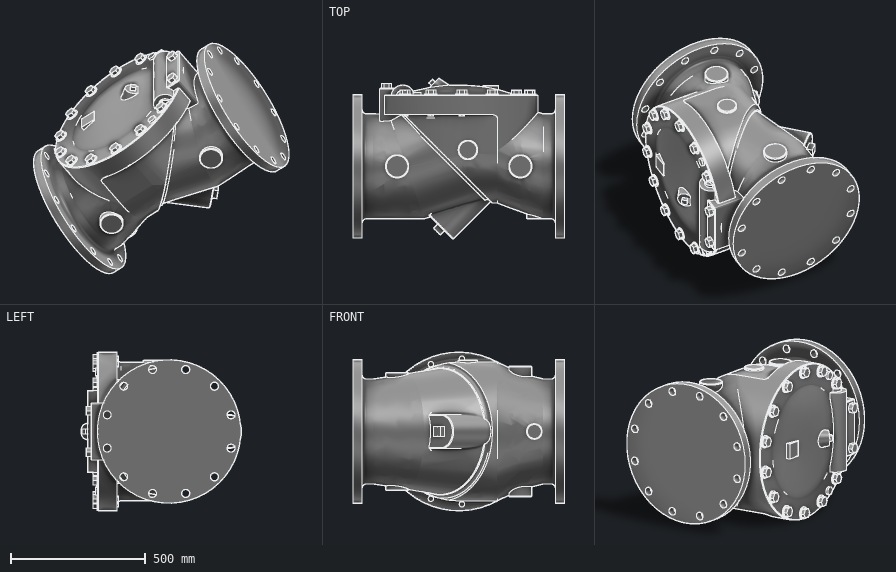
import cadquery as cq
import math

FACE_TO_FACE = 787.4
FLANGE_RADIUS = 533.4 / 2
FLANGE_THICKNESS = 35.0
FLANGE_BOLT_CIRCLE_RADIUS = 476.25 / 2
FLANGE_HOLE_DIAMETER = 29.0
FLANGE_HOLE_COUNT = 12
PIPE_RADIUS = 195.5
FLANGE_ROOT_RADIUS = 16.0

COVER_RADIUS = 295.22
COVER_BACK_Y = 193.0
COVER_FACE_Y = 265.8
COVER_CHAMFER = 3.0
DOME_RADIUS = 626.0
DOME_APEX_Y = 303.0
COVER_PAD_CENTER_X = 119.0
COVER_PAD_SIZE = 58.0
COVER_PAD_TOP_Y = 300.0

COVER_BOLT_CIRCLE_RADIUS = 270.5
COVER_BOLT_COUNT = 12
COVER_BOLT_PITCH = 25.0
BOLT_ACROSS_CORNERS = 38.0
BOLT_HEAD_HEIGHT = 14.5
WASHER_RADIUS = 23.0
WASHER_THICKNESS = 3.0
BOLT_TIP_RADIUS = 10.0
BOLT_TIP_LENGTH = 5.0
JACK_SCREW_ANGLE = 125.0
JACK_SCREW_RADIUS = 15.0
JACK_SCREW_HEIGHT = 8.0

CHEST_HALF_WIDTH = 258.0
CHEST_END_X = math.sqrt(COVER_RADIUS**2 - CHEST_HALF_WIDTH**2)
CHEST_CENTER_Y = 54.0
CHEST_DEPTH = 191.0
CHEST_ROOT_RADIUS = 14.0

SEAT_CENTER = cq.Vector(-58.0, 46.0, 0)
SEAT_NECK_RADIUS = 236.0
SEAT_ROOT_RADIUS = 12.0

INLET_CONE_START_X = -318.0
INLET_OBLIQUE_X = -194.0
INLET_OBLIQUE_SHIFT = 66.0
INLET_OBLIQUE_HALF_WIDTH = 214.0

OUTLET_MIDDLE_X = 240.0
OUTLET_MIDDLE_CENTER_Y = 22.0
OUTLET_MIDDLE_HALF_WIDTH = 216.0
OUTLET_MIDDLE_HALF_HEIGHT = 195.0
OUTLET_END_X = 314.0

SIDE_BOSS_X = 229.0
SIDE_BOSS_RADIUS = 43.0
INLET_BOSS_TOP_Z = 219.5
OUTLET_BOSS_TOP_Z = 243.0
CHEST_BOSS_CENTER = (34.0, 61.0)
CHEST_BOSS_RADIUS = 36.0
CHEST_BOSS_TOP_Z = 266.0
DRAIN_BOSS_X = 281.0
DRAIN_BOSS_RADIUS = 29.0
DRAIN_BOSS_FACE_Y = -196.0
BOSS_CHAMFER = 3.0

STOP_FACE_DISTANCE = 207.0
STOP_SEAT_DISTANCE = (SEAT_CENTER.x + SEAT_CENTER.y) * -math.sqrt(0.5)
STOP_RADIUS = 63.0
STOP_ROOT_RADIUS = 12.0
JOINT_TOLERANCE = 1.0
STOP_CENTER_OFFSET = 114.0
STOP_FLAT_LENGTH = 110.0
STOP_PLUG_SIZE = 36.0
STOP_PLUG_HEIGHT = 22.0

INDICATOR_FACE_DISTANCE = 284.0
INDICATOR_OFFSET = 150.3
INDICATOR_RADIUS = 29.5
INDICATOR_DEPTH = 60.0
INDICATOR_TAPER = 11.0
INDICATOR_PLUG_SIZE = 20.0
INDICATOR_PLUG_HEIGHT = 14.0

BRACKET_START_X = -294.5
BRACKET_END_X = -215.0
BRACKET_BOTTOM_Y = 167.0
BRACKET_TOP_Y = 291.0
BRACKET_HALF_WIDTH = 106.0
BRACKET_EDGE_RADIUS = 8.0
BRACKET_BOLT_X = -268.5
BRACKET_BOLT_Z = 77.0
BRACKET_BOLT_HEIGHT = 17.0
PIVOT_X = -208.0
PIVOT_Y = 259.5
PIVOT_RADIUS = 43.0
PIVOT_HALF_LENGTH = 152.0
PIVOT_PIN_RADIUS = 24.0
PIVOT_PIN_HALF_LENGTH = 163.0


def along_y(x, y, z=0):
    """Workplane at a point, with its normal on +Y, local x on +X and local y on -Z."""
    return cq.Workplane(cq.Plane((x, y, z), (1, 0, 0), (0, 1, 0)))


def ellipse_wire(plane, half_width, half_height):
    """Ellipse of the given half sizes along the plane's local x and y."""
    return cq.Workplane(plane).ellipse(half_width, half_height).wires().val()


def across_x(x, y=0):
    """Plane square to X, with local x on +Z and local y on +Y."""
    return cq.Plane((x, y, 0), (0, 0, 1), (-1, 0, 0))


def loft(wires, ruled=False):
    """Solid through the wires, straight between them if ruled and smooth otherwise."""
    return cq.Workplane(cq.Solid.makeLoft(wires, ruled))


def pipe_end(side):
    """Drilled flange, its rounded root and the straight pipe, on the -X or +X side."""
    end_x = FACE_TO_FACE / 2
    back_x = end_x - FLANGE_THICKNESS
    root_x = back_x - FLANGE_ROOT_RADIUS
    root_y = PIPE_RADIUS + FLANGE_ROOT_RADIUS
    diagonal = FLANGE_ROOT_RADIUS * math.sqrt(0.5)
    profile = (
        cq.Workplane("XY")
        .moveTo(OUTLET_END_X, 0)
        .lineTo(OUTLET_END_X, PIPE_RADIUS)
        .lineTo(root_x, PIPE_RADIUS)
        .threePointArc((root_x + diagonal, root_y - diagonal), (back_x, root_y))
        .lineTo(back_x, FLANGE_RADIUS)
        .lineTo(end_x, FLANGE_RADIUS)
        .lineTo(end_x, 0)
        .close()
    )
    body = profile.revolve(360, (0, 0, 0), (1, 0, 0))
    first_angle = 180 / FLANGE_HOLE_COUNT
    holes = (
        cq.Workplane("YZ", origin=(back_x, 0, 0))
        .polarArray(FLANGE_BOLT_CIRCLE_RADIUS, first_angle, 360, FLANGE_HOLE_COUNT)
        .circle(FLANGE_HOLE_DIAMETER / 2)
        .extrude(FLANGE_THICKNESS)
    )
    body = body.cut(holes)
    return body if side > 0 else body.mirror("YZ")


def seat_plane():
    """Seat plane facing the inlet, with local x on +Z."""
    return cq.Plane(SEAT_CENTER.toTuple(), (0, 0, 1), (-1, -1, 0))


def inlet():
    """Inlet body, widening from the pipe to the round neck at the seat plane."""
    oblique_plane = cq.Plane(
        (INLET_OBLIQUE_X, 0, 0), (0, 0, 1), (-PIPE_RADIUS, -INLET_OBLIQUE_SHIFT, 0)
    )
    oblique_length = math.hypot(PIPE_RADIUS, INLET_OBLIQUE_SHIFT)
    start = ellipse_wire(across_x(INLET_CONE_START_X), PIPE_RADIUS, PIPE_RADIUS)
    oblique = ellipse_wire(oblique_plane, INLET_OBLIQUE_HALF_WIDTH, oblique_length)
    neck = ellipse_wire(seat_plane(), SEAT_NECK_RADIUS, SEAT_NECK_RADIUS)
    return loft([start, oblique], True).union(loft([oblique, neck], True))


def seat_root():
    """Disc with a concave rim, rounding the corner between the neck and the seat face of the chest."""
    outer = SEAT_NECK_RADIUS + SEAT_ROOT_RADIUS
    diagonal = SEAT_ROOT_RADIUS * math.sqrt(0.5)
    axis_plane = cq.Plane(SEAT_CENTER.toTuple(), (0, 0, 1), (-1, 1, 0))
    inlet_way = axis_plane.toLocalCoords(SEAT_CENTER + seat_plane().zDir).y
    return (
        cq.Workplane(axis_plane)
        .lineTo(outer, 0)
        .threePointArc(
            (outer - diagonal, inlet_way * (SEAT_ROOT_RADIUS - diagonal)),
            (SEAT_NECK_RADIUS, inlet_way * SEAT_ROOT_RADIUS),
        )
        .lineTo(0, inlet_way * SEAT_ROOT_RADIUS)
        .close()
        .revolve(360, (0, 0, 0), (0, 1, 0))
    )


def inlet_side():
    """Everything on the inlet side of the seat plane."""
    return cq.Workplane(seat_plane()).rect(3 * FLANGE_RADIUS, 3 * FLANGE_RADIUS).extrude(FACE_TO_FACE)


def chest_root():
    """Rounding between the chest walls and the back of the cover flange."""
    outer = CHEST_HALF_WIDTH + CHEST_ROOT_RADIUS
    bottom_y = COVER_BACK_Y - CHEST_ROOT_RADIUS
    diagonal = CHEST_ROOT_RADIUS * math.sqrt(0.5)
    round_section = (
        cq.Workplane("XY")
        .moveTo(0, COVER_BACK_Y)
        .lineTo(-outer, COVER_BACK_Y)
        .threePointArc((diagonal - outer, bottom_y + diagonal), (-CHEST_HALF_WIDTH, bottom_y))
        .lineTo(0, bottom_y)
        .close()
    )
    round_end = round_section.revolve(360, (0, 0, 0), (0, 1, 0))
    straight = (
        cq.Workplane("ZY")
        .moveTo(-outer, COVER_BACK_Y)
        .threePointArc((diagonal - outer, bottom_y + diagonal), (-CHEST_HALF_WIDTH, bottom_y))
        .lineTo(CHEST_HALF_WIDTH, bottom_y)
        .threePointArc((outer - diagonal, bottom_y + diagonal), (outer, COVER_BACK_Y))
        .close()
        .extrude(-COVER_RADIUS)
    )
    rim = along_y(0, bottom_y).circle(COVER_RADIUS).extrude(CHEST_ROOT_RADIUS)
    return round_end.union(straight.intersect(rim))


def chest():
    """U-shaped chest with a rounded inlet end, cut off at the seat plane."""
    length = CHEST_END_X + CHEST_HALF_WIDTH
    lower = (
        cq.Workplane(across_x(CHEST_END_X, CHEST_CENTER_Y))
        .ellipse(CHEST_HALF_WIDTH, CHEST_DEPTH)
        .extrude(length)
    )
    wall_height = COVER_BACK_Y - CHEST_CENTER_Y
    wall = (
        cq.Workplane("XY")
        .box(length, wall_height, 2 * CHEST_HALF_WIDTH, centered=(False, False, True))
        .translate((-CHEST_HALF_WIDTH, CHEST_CENTER_Y, 0))
    )
    plan = (
        along_y(0, CHEST_CENTER_Y - CHEST_DEPTH)
        .moveTo(CHEST_END_X, CHEST_HALF_WIDTH)
        .lineTo(0, CHEST_HALF_WIDTH)
        .threePointArc((-CHEST_HALF_WIDTH, 0), (0, -CHEST_HALF_WIDTH))
        .lineTo(CHEST_END_X, -CHEST_HALF_WIDTH)
        .close()
        .extrude(CHEST_DEPTH + wall_height)
    )
    trough = lower.union(wall).intersect(plan)
    return trough.union(chest_root()).cut(inlet_side())


def chest_end_wall():
    """Outlet end of the chest, flush with the rim of the cover flange."""
    return (
        along_y(0, CHEST_CENTER_Y)
        .moveTo(CHEST_END_X, CHEST_HALF_WIDTH)
        .threePointArc((COVER_RADIUS, 0), (CHEST_END_X, -CHEST_HALF_WIDTH))
        .close()
        .extrude(COVER_BACK_Y - CHEST_CENTER_Y)
    )


def outlet():
    """Outlet body, narrowing from the chest section to the pipe."""
    return loft([
        ellipse_wire(across_x(CHEST_END_X, CHEST_CENTER_Y), CHEST_HALF_WIDTH, CHEST_DEPTH),
        ellipse_wire(
            across_x(OUTLET_MIDDLE_X, OUTLET_MIDDLE_CENTER_Y),
            OUTLET_MIDDLE_HALF_WIDTH, OUTLET_MIDDLE_HALF_HEIGHT,
        ),
        ellipse_wire(across_x(OUTLET_END_X), PIPE_RADIUS, PIPE_RADIUS),
    ])


def cover():
    """Cover flange and domed lid."""
    flange = (
        along_y(0, COVER_BACK_Y)
        .circle(COVER_RADIUS)
        .extrude(COVER_FACE_Y - COVER_BACK_Y)
        .faces(">Y")
        .chamfer(COVER_CHAMFER)
    )
    ball = cq.Workplane("XY").sphere(DOME_RADIUS).translate((0, DOME_APEX_Y - DOME_RADIUS, 0))
    lid_zone = along_y(0, COVER_BACK_Y).circle(COVER_BOLT_CIRCLE_RADIUS).extrude(DOME_APEX_Y - COVER_BACK_Y)
    pad = (
        along_y(COVER_PAD_CENTER_X, COVER_FACE_Y)
        .rect(COVER_PAD_SIZE, COVER_PAD_SIZE)
        .extrude(COVER_PAD_TOP_Y - COVER_FACE_Y)
    )
    return flange.union(ball.intersect(lid_zone)).union(pad)


def on_bolt_circle(angle):
    """X and Z of a point on the cover bolt circle, at an angle in degrees from +X."""
    turn = math.radians(angle)
    return COVER_BOLT_CIRCLE_RADIUS * math.cos(turn), COVER_BOLT_CIRCLE_RADIUS * math.sin(turn)


def cover_bolts():
    """Bolts on an open circle, with the gap facing the hinge bracket, and two jack screws."""
    bolts = cq.Workplane("XY")
    head_height = WASHER_THICKNESS + BOLT_HEAD_HEIGHT
    shank_length = COVER_FACE_Y - COVER_BACK_Y + BOLT_TIP_LENGTH
    first_angle = -COVER_BOLT_PITCH * (COVER_BOLT_COUNT - 1) / 2
    for index in range(COVER_BOLT_COUNT):
        x, z = on_bolt_circle(first_angle + index * COVER_BOLT_PITCH)
        washer = along_y(x, COVER_FACE_Y, z).circle(WASHER_RADIUS).extrude(WASHER_THICKNESS)
        head = along_y(x, COVER_FACE_Y, z).polygon(6, BOLT_ACROSS_CORNERS).extrude(head_height)
        shank = along_y(x, COVER_BACK_Y - BOLT_TIP_LENGTH, z).circle(BOLT_TIP_RADIUS).extrude(shank_length)
        bolts = bolts.add(washer.union(head).union(shank))
    for side in (-1, 1):
        x, z = on_bolt_circle(side * JACK_SCREW_ANGLE)
        bolts = bolts.add(along_y(x, COVER_FACE_Y, z).circle(JACK_SCREW_RADIUS).extrude(JACK_SCREW_HEIGHT))
    return bolts.combine()


def hinge_bracket():
    """Bracket block with two bolts, carrying the horizontal pivot and its pin."""
    block = (
        cq.Workplane("XY")
        .box(
            BRACKET_END_X - BRACKET_START_X,
            BRACKET_TOP_Y - BRACKET_BOTTOM_Y,
            2 * BRACKET_HALF_WIDTH,
            centered=(False, False, True),
        )
        .translate((BRACKET_START_X, BRACKET_BOTTOM_Y, 0))
        .edges("|Y and <X")
        .fillet(BRACKET_EDGE_RADIUS)
        .faces(">Y")
        .chamfer(COVER_CHAMFER)
    )
    bolt_places = [(BRACKET_BOLT_X, -BRACKET_BOLT_Z), (BRACKET_BOLT_X, BRACKET_BOLT_Z)]
    bolts = (
        along_y(0, BRACKET_TOP_Y)
        .pushPoints(bolt_places)
        .polygon(6, BOLT_ACROSS_CORNERS)
        .extrude(BRACKET_BOLT_HEIGHT)
    )
    pivot_axis = cq.Workplane("XY", origin=(PIVOT_X, PIVOT_Y, 0))
    pivot = pivot_axis.circle(PIVOT_RADIUS).extrude(PIVOT_HALF_LENGTH, both=True)
    pin = pivot_axis.circle(PIVOT_PIN_RADIUS).extrude(PIVOT_PIN_HALF_LENGTH, both=True)
    return block.union(bolts).union(pivot).union(pin)


def top_boss(x, y, radius, top_z):
    """Upright round boss standing on the body."""
    boss = cq.Workplane("XY", origin=(x, y, 0)).circle(radius).extrude(top_z)
    return boss.faces(">Z").chamfer(BOSS_CHAMFER)


def round_bosses():
    """Paired bosses above and below the flow axis, one on the chest and a drain boss on -Y."""
    inlet_boss = top_boss(-SIDE_BOSS_X, 0, SIDE_BOSS_RADIUS, INLET_BOSS_TOP_Z)
    outlet_boss = top_boss(SIDE_BOSS_X, 0, SIDE_BOSS_RADIUS, OUTLET_BOSS_TOP_Z)
    pairs = inlet_boss.union(outlet_boss)
    chest_boss = top_boss(*CHEST_BOSS_CENTER, CHEST_BOSS_RADIUS, CHEST_BOSS_TOP_Z)
    drain_boss = (
        along_y(DRAIN_BOSS_X, DRAIN_BOSS_FACE_Y)
        .circle(DRAIN_BOSS_RADIUS)
        .extrude(-DRAIN_BOSS_FACE_Y)
        .faces("<Y")
        .chamfer(BOSS_CHAMFER)
    )
    return pairs.union(pairs.mirror("XY")).union(chest_boss).union(drain_boss)


def slanted_plane(out_y, offset, distance):
    """Plane facing (-X, out_y), at a distance along that way and an offset toward +X across it."""
    half = math.sqrt(0.5)
    origin = (half * (offset - distance), half * out_y * (distance + offset), 0)
    return cq.Plane(origin, (half, half * out_y, 0), (-half, half * out_y, 0))


def stop_boss():
    """Round-ended boss running out from the seat plane, with a square plug in its face."""
    length = STOP_FACE_DISTANCE - STOP_SEAT_DISTANCE
    foot = slanted_plane(-1, STOP_CENTER_OFFSET, STOP_SEAT_DISTANCE)
    boss = (
        cq.Workplane(foot)
        .moveTo(-STOP_FLAT_LENGTH, -STOP_RADIUS)
        .lineTo(0, -STOP_RADIUS)
        .threePointArc((STOP_RADIUS, 0), (0, STOP_RADIUS))
        .lineTo(-STOP_FLAT_LENGTH, STOP_RADIUS)
        .close()
        .extrude(length)
        .faces("<(1, 1, 0)")
        .chamfer(BOSS_CHAMFER)
    )
    face = slanted_plane(-1, STOP_CENTER_OFFSET, STOP_FACE_DISTANCE)
    plug = cq.Workplane(face).rect(STOP_PLUG_SIZE, STOP_PLUG_SIZE).extrude(STOP_PLUG_HEIGHT)
    return boss.union(plug)


def indicator_boss():
    """Tapered round boss on the lid, with a square plug in its face."""
    face = slanted_plane(1, INDICATOR_OFFSET, INDICATOR_FACE_DISTANCE)
    foot_radius = INDICATOR_RADIUS + INDICATOR_DEPTH * math.tan(math.radians(INDICATOR_TAPER))
    boss = cq.Workplane(
        cq.Solid.makeCone(INDICATOR_RADIUS, foot_radius, INDICATOR_DEPTH, face.origin, face.zDir * -1)
    )
    plug = cq.Workplane(face).rect(INDICATOR_PLUG_SIZE, INDICATOR_PLUG_SIZE).extrude(INDICATOR_PLUG_HEIGHT)
    return boss.union(plug)


def inlet_with_stop():
    """Inlet with the stop boss, its two flat sides rounded into the inlet body."""
    joined = inlet().union(stop_boss())
    side_joints = [
        edge
        for edge in joined.edges("%BSPLINE").vals()
        if edge.Center().y < -STOP_CENTER_OFFSET
        and abs(abs(edge.Center().z) - STOP_RADIUS) < JOINT_TOLERANCE
    ]
    return joined.newObject(side_joints).fillet(STOP_ROOT_RADIUS)


cover_assembly = cover().union(indicator_boss()).union(hinge_bracket()).union(cover_bolts())
body = inlet_with_stop().union(seat_root()).union(chest()).union(outlet()).union(chest_end_wall())
body = body.union(pipe_end(-1)).union(pipe_end(1)).union(round_bosses())
result = body.union(cover_assembly).solids()